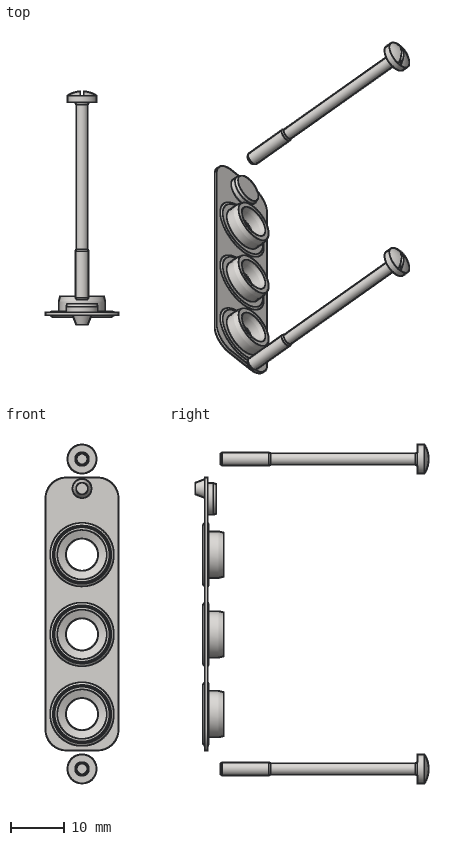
import cadquery as cq
import math


plate_width = 13.8
plate_height = 51.4
plate_thickness = 0.6
plate_corner_radius = 4.0

grommet_count = 3
grommet_pitch = 15.0
grommet_middle_z = -3.84
grommet_bore_diameter = 6.0
bore_flare_diameter = 6.4
funnel_diameter = 9.3
funnel_depth = 0.65
lip_base_diameter = 12.0
lip_crest_diameter = 11.0
lip_inner_diameter = 10.7
lip_height = 0.4
seat_diameter = 10.3
back_flange_diameter = 11.0
back_flange_height = 0.2
hub_diameter = 8.8
hub_tip_diameter = 8.3
hub_height = 3.0
hub_taper_length = 1.0

stud_z = 23.6
stud_base_diameter = 3.6
stud_tip_diameter = 2.2
stud_height = 1.8
pad_z = 21.65
pad_diameter = 6.0
pad_tip_diameter = 5.6
pad_height = 1.6
pad_taper_length = 0.6

screw_spacing = 58.3
head_diameter = 5.5
head_rim_height = 1.3
head_dome_height = 0.85
collar_diameter = 2.6
collar_length = 0.4
shank_diameter = 2.2
thread_diameter = 2.5
thread_taper_length = 0.4
thread_length = 9.1
under_head_length = 37.1
tip_chamfer_length = 0.4
tip_diameter = 2.0
slot_width = 0.6
slot_depth = head_dome_height
screw_top_y = 42.18


def turned(points, z):
    """Revolve a (radius, y) outline about the Y axis and move it up to height z."""
    outline = cq.Workplane("XY").polyline(points).close()
    return outline.revolve(360, (0, 0, 0), (0, 1, 0)).translate((0, 0, z))


def plate_sheet():
    sheet = cq.Workplane("XY").box(plate_width, plate_thickness, plate_height)
    return sheet.translate((0, plate_thickness / 2, 0)).edges("|Y").fillet(plate_corner_radius)


def grommet_solid(z):
    back_y = plate_thickness + hub_height
    flange_y = plate_thickness + back_flange_height
    return turned(
        [
            (0, 0),
            (seat_diameter / 2, 0),
            (lip_inner_diameter / 2, -lip_height),
            (lip_crest_diameter / 2, -lip_height),
            (lip_base_diameter / 2, 0),
            (lip_base_diameter / 2, plate_thickness),
            (back_flange_diameter / 2, flange_y),
            (hub_diameter / 2, flange_y),
            (hub_diameter / 2, back_y - hub_taper_length),
            (hub_tip_diameter / 2, back_y),
            (0, back_y),
        ],
        z,
    )


def grommet_bore(z):
    back_y = plate_thickness + hub_height
    return turned(
        [
            (0, 0),
            (funnel_diameter / 2, 0),
            (grommet_bore_diameter / 2, funnel_depth),
            (grommet_bore_diameter / 2, back_y - hub_taper_length),
            (bore_flare_diameter / 2, back_y),
            (0, back_y),
        ],
        z,
    )


def stud():
    return turned(
        [(0, 0), (stud_base_diameter / 2, 0), (stud_tip_diameter / 2, -stud_height), (0, -stud_height)],
        stud_z,
    )


def backing_pad():
    back_y = plate_thickness + pad_height
    return turned(
        [
            (0, 0),
            (pad_diameter / 2, 0),
            (pad_diameter / 2, back_y - pad_taper_length),
            (pad_tip_diameter / 2, back_y),
            (0, back_y),
        ],
        pad_z,
    )


def build_seal_plate():
    plate = plate_sheet().union(stud()).union(backing_pad())
    for i in range(grommet_count):
        z = grommet_middle_z + (i - (grommet_count - 1) / 2) * grommet_pitch
        plate = plate.union(grommet_solid(z)).cut(grommet_bore(z))
    return plate


def build_screw(z):
    rim_y = screw_top_y - head_dome_height
    seat_y = rim_y - head_rim_height
    end_y = seat_y - under_head_length
    thread_start_y = end_y + thread_length
    dome_base_radius = head_diameter / 2
    dome_radius = (dome_base_radius**2 + head_dome_height**2) / (2 * head_dome_height)
    half_angle = math.asin(dome_base_radius / dome_radius) / 2
    dome_mid = (
        dome_radius * math.sin(half_angle),
        screw_top_y - dome_radius * (1 - math.cos(half_angle)),
    )
    outline = (
        cq.Workplane("XY")
        .moveTo(0, end_y)
        .lineTo(tip_diameter / 2, end_y)
        .lineTo(thread_diameter / 2, end_y + tip_chamfer_length)
        .lineTo(thread_diameter / 2, thread_start_y)
        .lineTo(shank_diameter / 2, thread_start_y + thread_taper_length)
        .lineTo(shank_diameter / 2, seat_y - collar_length)
        .lineTo(collar_diameter / 2, seat_y)
        .lineTo(head_diameter / 2, seat_y)
        .lineTo(head_diameter / 2, rim_y)
        .threePointArc(dome_mid, (0, screw_top_y))
        .close()
    )
    screw = outline.revolve(360, (0, 0, 0), (0, 1, 0))
    slot = cq.Workplane("XY").box(slot_width, 2 * slot_depth, 2 * head_diameter)
    return screw.cut(slot.translate((0, screw_top_y, 0))).translate((0, 0, z))


seal_plate = build_seal_plate()
screws = [build_screw(side * screw_spacing / 2) for side in (-1, 1)]

result = cq.Compound.makeCompound([seal_plate.val(), *[screw.val() for screw in screws]])